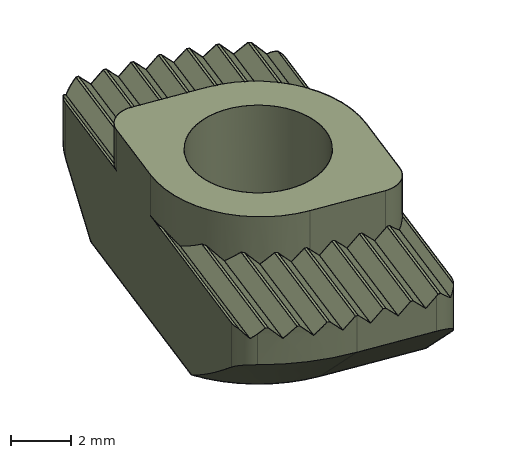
import cadquery as cq
import math

length = 16.0
width = 7.7
height = 6.0
half_length = length / 2
half_width = width / 2

body_top = 4.51
slope_top = 3.0
foot_half_length = half_length - slope_top
corner_radius = 0.96

neck_round_radius = 4.0
bore_diameter = 4.91

tooth_pitch = 1.0
crest_width = 0.1
groove_half_width = (tooth_pitch - crest_width) / 2
groove_depth = groove_half_width
ledge_height = 4.32
grooves_per_side = math.ceil(half_width / tooth_pitch)


def make_plan_prism():
    """Body plan: two opposite quarters bounded by a circle, two square."""
    arc_end_x = math.sqrt(half_length**2 - half_width**2)
    arc_mid_angle = math.asin(half_width / half_length) / 2
    arc_mid_x = half_length * math.cos(arc_mid_angle)
    arc_mid_y = half_length * math.sin(arc_mid_angle)
    return (
        cq.Workplane("XY")
        .moveTo(half_length, 0)
        .lineTo(half_length, half_width)
        .lineTo(-arc_end_x, half_width)
        .threePointArc((-arc_mid_x, arc_mid_y), (-half_length, 0))
        .lineTo(-half_length, -half_width)
        .lineTo(arc_end_x, -half_width)
        .threePointArc((arc_mid_x, -arc_mid_y), (half_length, 0))
        .close()
        .extrude(body_top)
        .edges("|Z")
        .edges(">Y or <Y")
        .fillet(corner_radius)
    )


def make_underside_envelope():
    """Conical underside on the rounded quarters, flat slopes on the square ones."""
    half_profile = [
        (0, 0),
        (foot_half_length, 0),
        (half_length, slope_top),
        (half_length, body_top),
        (0, body_top),
    ]
    cone = cq.Workplane("XZ").polyline(half_profile).close().revolve(360, (0, 0), (0, 1))
    wedge = cq.Workplane("XZ").polyline(half_profile).close().extrude(-half_width)
    opposite_wedge = wedge.rotate((0, 0, 0), (0, 0, 1), 180)
    return cone.union(wedge).union(opposite_wedge)


def cut_serrations(body):
    """Cut V grooves along X, leaving a crest on the centre line."""
    for index in range(-grooves_per_side, grooves_per_side):
        groove_y = (index + 0.5) * tooth_pitch
        groove = (
            cq.Workplane("YZ")
            .polyline([
                (groove_y - groove_half_width, body_top),
                (groove_y, body_top - groove_depth),
                (groove_y + groove_half_width, body_top),
            ])
            .close()
            .extrude(half_length, both=True)
        )
        body = body.cut(groove)
    return body


def cut_edge_ledges(body):
    """Level the outermost tooth flanks into a narrow flat along each long edge."""
    outer_groove_y = (grooves_per_side - 0.5) * tooth_pitch
    ledge_inner_y = outer_groove_y + ledge_height - (body_top - groove_depth)
    ledge_width = half_width - ledge_inner_y
    ledge_depth = body_top - ledge_height
    for side in (-1, 1):
        ledge = cq.Workplane("XY").box(length, ledge_width, ledge_depth).translate(
            (0, side * (half_width - ledge_width / 2), body_top - ledge_depth / 2)
        )
        body = body.cut(ledge)
    return body


def make_neck():
    """Square neck with two large and two small rounded corners."""
    neck_base = cq.Workplane("XY").workplane(offset=slope_top)
    neck = neck_base.rect(width, width).extrude(height - slope_top)
    for x_sign in (-1, 1):
        for y_sign in (-1, 1):
            radius = corner_radius if x_sign == y_sign else neck_round_radius
            corner = cq.selectors.NearestToPointSelector(
                (x_sign * half_width, y_sign * half_width, (slope_top + height) / 2)
            )
            neck = neck.edges("|Z").edges(corner).fillet(radius)
    return neck


body = make_plan_prism().intersect(make_underside_envelope())
body = cut_serrations(body)
body = cut_edge_ledges(body)
bore = cq.Workplane("XY").circle(bore_diameter / 2).extrude(height)
result = body.union(make_neck()).cut(bore)